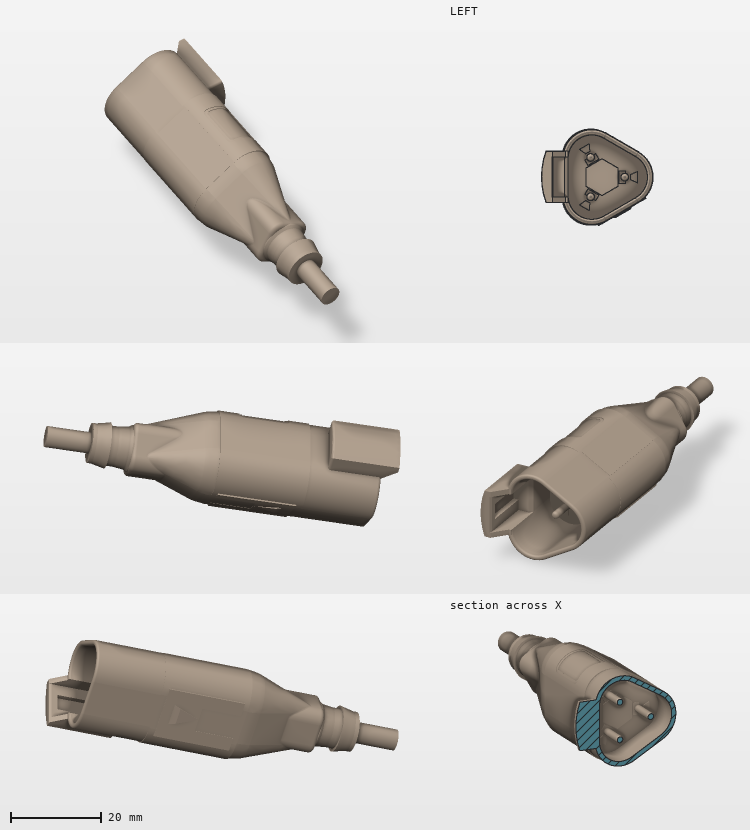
import cadquery as cq
import math

HOOD_FRONT = 0.0
SHELL_FRONT = 3.3
HOOD_REAR = 15.35
GRIP_FRONT = 19.45
FLOOR_X = 20.9
TAPER_START = 39.85
TAPER_CUT = 57.4
COLLAR_REAR = 58.7
NECK_REAR = 67.6
CABLE_END = 77.5

CORNER_REACH = 11.3
GRIP_APOTHEM = 8.8
GRIP_RADIUS = 2 * GRIP_APOTHEM - CORNER_REACH
WALL = 1.2
MOUTH_FILLET = 0.55
BODY_FLAT_Y = 8.7
BODY_SHIFT = (GRIP_APOTHEM - BODY_FLAT_Y) / 1.5
BODY_APOTHEM = BODY_FLAT_Y + BODY_SHIFT
CORNER_STEP = 0.1
BODY_RADIUS = GRIP_RADIUS + CORNER_STEP
CORNER_ANGLES = (60, 180, 300)
FLAT_ANGLES = (0, 120, 240)

TAPER_ANGLE = math.radians(20)
TAPER_BLEND_RADIUS = 9.3

COLLAR_SIDE = 10.9
COLLAR_CORNER_RADIUS = 2.8
COLLAR_TILT = 60
COLLAR_DROP = 0.1
COLLAR_FRONT = 42.65
COLLAR_REAR_FILLET = 0.9
COLLAR_BLEND = 0.6

CABLE_DIAMETER = 4.7


def section(x):
    """Sketch plane across the plug at station x, local axes along Y and Z."""
    return cq.Workplane("YZ", origin=(x, 0, 0))


def turned(solid, angle):
    """Copy of a solid turned about the plug axis, from +Y toward +Z."""
    return solid.rotate((0, 0, 0), (1, 0, 0), angle)


def triangle_prism(x_start, x_end, apothem, radius):
    """Prism with a rounded triangular section."""
    length = x_end - x_start
    prism = section(x_start).polygon(3, 4 * apothem).extrude(length)
    prism = turned(prism, CORNER_ANGLES[0])
    return prism.edges("|X").fillet(radius)


def wall_profile():
    """Lengthwise outline from a corner axis out to the wall, which blends into a straight taper."""
    blend_length = TAPER_BLEND_RADIUS * math.sin(TAPER_ANGLE)
    blend_drop = TAPER_BLEND_RADIUS * (1 - math.cos(TAPER_ANGLE))
    half_angle = TAPER_ANGLE / 2
    blend_mid = (
        TAPER_START + TAPER_BLEND_RADIUS * math.sin(half_angle),
        BODY_RADIUS - TAPER_BLEND_RADIUS * (1 - math.cos(half_angle)),
    )
    blend_end = (TAPER_START + blend_length, BODY_RADIUS - blend_drop)
    cut_height = blend_end[1] - (TAPER_CUT - blend_end[0]) * math.tan(TAPER_ANGLE)
    return (
        cq.Workplane("XY")
        .moveTo(SHELL_FRONT, 0)
        .lineTo(SHELL_FRONT, BODY_RADIUS)
        .lineTo(TAPER_START, BODY_RADIUS)
        .threePointArc(blend_mid, blend_end)
        .lineTo(TAPER_CUT, cut_height)
        .lineTo(TAPER_CUT, 0)
        .close()
    )


def tapered_body():
    """Body that keeps its corner centres while every wall leans in toward the cable."""
    inner_apothem = BODY_APOTHEM - BODY_RADIUS
    half_flat = inner_apothem * math.tan(math.radians(60))
    side = wall_profile().extrude(half_flat, both=True).translate((0, inner_apothem, 0))
    corner = wall_profile().revolve(360, (0, 0, 0), (1, 0, 0)).translate((0, 2 * inner_apothem, 0))
    body = section(SHELL_FRONT).polygon(3, 4 * inner_apothem).extrude(TAPER_CUT - SHELL_FRONT)
    body = turned(body, CORNER_ANGLES[0])
    for angle in FLAT_ANGLES:
        body = body.union(turned(side, angle))
    for angle in CORNER_ANGLES:
        body = body.union(turned(corner, angle))
    return body.clean().translate((0, -BODY_SHIFT, 0))


def collar():
    """Tilted rounded square sleeve where the taper meets the cable neck."""
    block = section(COLLAR_FRONT).rect(COLLAR_SIDE, COLLAR_SIDE).extrude(COLLAR_REAR - COLLAR_FRONT)
    block = block.edges("|X").fillet(COLLAR_CORNER_RADIUS)
    block = block.faces(">X").edges().fillet(COLLAR_REAR_FILLET)
    return turned(block, COLLAR_TILT).translate((0, -COLLAR_DROP, -COLLAR_DROP))


def taper_with_collar():
    """Tapered body joined to the collar, with the seam between them filleted."""
    sleeve = collar()
    sleeve_skin = sleeve.val().Shells()[0]
    tolerance = 0.001

    def on_seam(edge):
        middle = cq.Vertex.makeVertex(*edge.positionAt(0.5).toTuple())
        box = edge.BoundingBox()
        inside_taper = box.xmin > COLLAR_FRONT and box.xmax < TAPER_CUT + tolerance
        return inside_taper and middle.distance(sleeve_skin) < tolerance

    joined = tapered_body().union(sleeve)
    seam = [edge for edge in joined.edges().vals() if on_seam(edge)]
    return joined.newObject(seam).fillet(COLLAR_BLEND)


def neck_and_cable():
    """Turned neck with a flared root and a barb, followed by the cable."""
    root_radius = 5.3
    flare_radius = 4.8
    neck_radius = 4.5
    barb_radius = 5.2
    lead_radius = 4.6
    flare_front = 59.3
    lead_front = 61.25
    neck_front = 61.8
    barb_front = 63.6
    barb_rear = 66.7
    return (
        cq.Workplane("XY")
        .moveTo(TAPER_CUT, 0)
        .lineTo(TAPER_CUT, root_radius)
        .lineTo(COLLAR_REAR, root_radius)
        .lineTo(flare_front, flare_radius)
        .lineTo(lead_front, lead_radius)
        .lineTo(neck_front, neck_radius)
        .lineTo(barb_front, neck_radius)
        .lineTo(barb_front, barb_radius)
        .lineTo(barb_rear, neck_radius)
        .lineTo(NECK_REAR, neck_radius)
        .lineTo(NECK_REAR, CABLE_DIAMETER / 2)
        .lineTo(CABLE_END, CABLE_DIAMETER / 2)
        .lineTo(CABLE_END, 0)
        .close()
        .revolve(360, (0, 0, 0), (1, 0, 0))
    )


HOOD_TOP = 13.4
HOOD_SHOULDER = 12.4
HOOD_HALF_WIDTH = 11.4 / 2
HOOD_RISE = 0.1
HOOD_LIP_BOTTOM = 10.9
CHANNEL_CEILING = 10.85
CHANNEL_HALF_WIDTH = 4.4
CHANNEL_REAR = 12.7
RAMP_SIZE = 0.8
HOOD_REAR_FILLET = 0.55


def hood():
    """Arched block over the mouth with a slanted underside at its front."""
    base = BODY_FLAT_Y - WALL
    arch = (
        section(HOOD_FRONT)
        .moveTo(base, -HOOD_HALF_WIDTH)
        .lineTo(HOOD_SHOULDER, -HOOD_HALF_WIDTH)
        .threePointArc((HOOD_TOP, 0), (HOOD_SHOULDER, HOOD_HALF_WIDTH))
        .lineTo(base, HOOD_HALF_WIDTH)
        .close()
        .extrude(HOOD_REAR - HOOD_FRONT)
    )
    arch = arch.faces(">X").edges("not <Y").fillet(HOOD_REAR_FILLET)
    slant = (
        cq.Workplane("XY")
        .polyline([(HOOD_FRONT, base), (HOOD_FRONT, HOOD_LIP_BOTTOM), (SHELL_FRONT, base + WALL / 2)])
        .lineTo(SHELL_FRONT, base)
        .close()
        .extrude(HOOD_HALF_WIDTH, both=True)
    )
    return arch.cut(slant)


def latch_channel():
    """Space under the hood, open to the mouth, with a ramped end and a slot in its ceiling."""
    lip_length = 0.55
    lip_rise = 0.2
    slot_front = 1.9
    slot_half_width = 1.85
    slot_depth = 1.25
    inside = BODY_FLAT_Y - WALL - RAMP_SIZE
    channel = (
        cq.Workplane("XY")
        .moveTo(HOOD_FRONT, inside)
        .lineTo(HOOD_FRONT, CHANNEL_CEILING + lip_rise)
        .lineTo(HOOD_FRONT + lip_length, CHANNEL_CEILING)
        .lineTo(CHANNEL_REAR, CHANNEL_CEILING)
        .lineTo(CHANNEL_REAR, inside + 2 * RAMP_SIZE)
        .lineTo(CHANNEL_REAR + 2 * RAMP_SIZE, inside)
        .close()
        .extrude(CHANNEL_HALF_WIDTH, both=True)
    )
    slot = cq.Workplane("XY").box(CHANNEL_REAR - slot_front, 2 * slot_depth, 2 * slot_half_width)
    slot = slot.translate(((CHANNEL_REAR + slot_front) / 2, CHANNEL_CEILING, 0))
    return channel.union(slot)


PIN_CIRCLE = 5.05
PIN_RADIUS = 0.85
PIN_FRONT = 13.95
PIN_TIP_FILLET = 0.7
MARK_HEIGHT = 0.2


def floor_details():
    """Hexagonal pad, and at each corner a contact pin, its seat and an outer mark."""
    hexagon_flats = 7.05
    seat_inner = 3.8
    seat_outer = 5.2
    seat_half_width = 1.4
    mark_inner = (6.3, 0.55)
    mark_outer = (7.8, 1.25)
    overlap = 0.15
    plane = FLOOR_X - MARK_HEIGHT
    thickness = MARK_HEIGHT + overlap
    hexagon = section(plane).polygon(6, hexagon_flats / math.cos(math.pi / 6)).extrude(thickness)
    details = turned(hexagon, 30)
    pin = section(PIN_FRONT).center(PIN_CIRCLE, 0).circle(PIN_RADIUS).extrude(FLOOR_X + overlap - PIN_FRONT)
    pin = pin.faces("<X").edges().fillet(PIN_TIP_FILLET)
    seat = (
        section(plane)
        .center((seat_inner + seat_outer) / 2, 0)
        .rect(seat_outer - seat_inner, 2 * seat_half_width)
        .extrude(thickness)
    )
    mark = (
        section(plane)
        .polyline([mark_inner, mark_outer, (mark_outer[0], -mark_outer[1]), (mark_inner[0], -mark_inner[1])])
        .close()
        .extrude(thickness)
    )
    for angle in CORNER_ANGLES:
        for piece in (pin, seat, mark):
            details = details.union(turned(piece, angle))
    return details


PLATE_TOP = 8.9


def flat_plate(x_start, x_end, width, top):
    """Plate lying on the +Y flat, sunk into the body below its top face."""
    depth = 1.2
    plate = cq.Workplane("XY").box(x_end - x_start, depth, width)
    return plate.translate(((x_start + x_end) / 2, top - depth / 2, 0))


def upper_plate():
    """Plain plate on the upward flat."""
    plate_front = 20.2
    plate_width = 8.5
    plate = flat_plate(plate_front, TAPER_START, plate_width, PLATE_TOP)
    return turned(plate, FLAT_ANGLES[1])


def lower_plate():
    """Wide plate on the downward flat with a slot from its rear end and a wedge ahead of the slot."""
    plate_front = 20.9
    plate_rear = 38.7
    plate_width = 12.1
    slot_front = 29.6
    slot_width = 5.7
    wedge_front = 23.25
    wedge_crest = 24.7
    wedge_width = 5.0
    wedge_rise = 0.3
    plate = flat_plate(plate_front, plate_rear, plate_width, PLATE_TOP)
    slot = flat_plate(slot_front, plate_rear, slot_width, PLATE_TOP)
    wedge_side = (
        cq.Workplane("XY")
        .polyline([(wedge_front, PLATE_TOP), (wedge_crest, PLATE_TOP + wedge_rise), (slot_front, PLATE_TOP)])
        .lineTo(slot_front, GRIP_APOTHEM)
        .lineTo(wedge_front, GRIP_APOTHEM)
        .close()
        .extrude(wedge_width / 2, both=True)
    )
    wedge_outline = (
        cq.Workplane("XZ")
        .moveTo(wedge_front, -wedge_width / 2)
        .lineTo(slot_front, 0)
        .lineTo(wedge_front, wedge_width / 2)
        .close()
        .extrude(-2 * PLATE_TOP)
    )
    plate = plate.cut(slot).union(wedge_side.intersect(wedge_outline))
    return turned(plate, FLAT_ANGLES[2])


BADGE_CENTRE_X = 29.6
BADGE_LENGTH = 11.25
BADGE_WIDTH = 8.4
BADGE_CORNER = 1.1
BADGE_BORDER = 0.6
BADGE_STEP = 0.15


def badge_recess(inset, depth):
    """Rounded rectangular recess whose floor follows the grip surface at the given depth."""
    block = (
        cq.Workplane("XZ", origin=(BADGE_CENTRE_X, 0, 0))
        .rect(BADGE_LENGTH - 2 * inset, BADGE_WIDTH - 2 * inset)
        .extrude(-2 * CORNER_REACH)
        .edges("|Y")
        .fillet(BADGE_CORNER - inset / 2)
    )
    floor = triangle_prism(GRIP_FRONT, TAPER_START, GRIP_APOTHEM - depth, GRIP_RADIUS - depth)
    return turned(block, CORNER_ANGLES[0]).cut(floor)


body = taper_with_collar()
body = body.union(triangle_prism(GRIP_FRONT, TAPER_START, GRIP_APOTHEM, GRIP_RADIUS))
body = body.union(neck_and_cable())

mouth = triangle_prism(SHELL_FRONT, FLOOR_X, BODY_APOTHEM - WALL, BODY_RADIUS - WALL)
body = body.cut(mouth.translate((0, -BODY_SHIFT, 0)))
body = body.faces("<X").edges().fillet(MOUTH_FILLET)
body = body.union(upper_plate()).union(lower_plate())

body = body.cut(badge_recess(0, BADGE_STEP))
body = body.cut(badge_recess(BADGE_BORDER, 2 * BADGE_STEP))

body = body.union(hood().translate((0, 0, HOOD_RISE)))
body = body.cut(latch_channel().translate((0, 0, HOOD_RISE)))
result = body.union(floor_details())